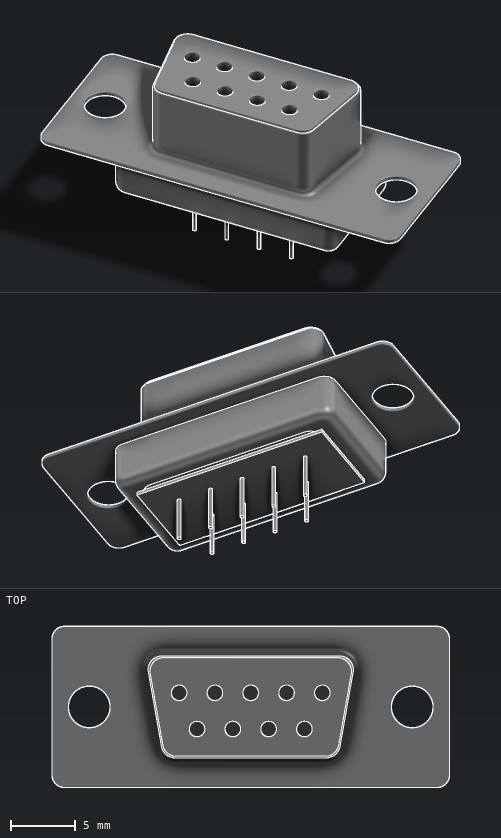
import cadquery as cq
import math


TOTAL_HEIGHT = 14.57
EDGE_ROUND = 0.1

FLANGE_LENGTH = 30.8
FLANGE_WIDTH = 12.5
FLANGE_THICKNESS = 0.4
FLANGE_CORNER_RADIUS = 1.0
MOUNT_HOLE_DIAMETER = 3.2
MOUNT_HOLE_SPACING = 25.0

SKIRT_LENGTH = 15.9
SKIRT_WIDTH = 7.9
SKIRT_HEIGHT = 5.88
SKIRT_WALL = 0.12
SKIRT_SIDE_ANGLE = 10.0
SKIRT_CORNER_RADIUS = 1.05
SKIRT_BASE_FILLET = 0.62

REAR_LENGTH = 19.2
REAR_WIDTH = 9.98
REAR_HEIGHT = 3.95
REAR_FILLET = 1.0

CORE_PROTRUSION = 0.25
PLATE_LENGTH = 16.25
PLATE_WIDTH = 7.0
PLATE_THICKNESS = 0.28

ROW_COUNTS = (5, 4)
CONTACT_PITCH = 2.77
ROW_SPACING = 2.8
SOCKET_DIAMETER = 1.2
SOCKET_ROWS_OFFSET = -0.3
PIN_DIAMETER = 0.3

CORE_TOP = SKIRT_HEIGHT + CORE_PROTRUSION
SOCKET_FLOOR = 0.0
REAR_BOTTOM = -FLANGE_THICKNESS - REAR_HEIGHT
PLATE_BOTTOM = REAR_BOTTOM - PLATE_THICKNESS
PIN_BOTTOM = CORE_TOP - TOTAL_HEIGHT


def plane_at(z):
    return cq.Workplane("XY", origin=(0, 0, z))


def contact_points(offset_y):
    """Centres of both contact rows; the longer row lies on the +Y side."""
    points = []
    for row, count in enumerate(ROW_COUNTS):
        y = offset_y + (0.5 - row) * ROW_SPACING
        for column in range(count):
            x = (column - (count - 1) / 2) * CONTACT_PITCH
            points.append((x, y))
    return points


def make_d_prism(inset, bottom, top):
    """Rounded D-shaped prism, wider on the +Y side, set in from the skirt's outer wall."""
    half_width = SKIRT_WIDTH / 2 - inset

    corner_cotangent = 1 / math.tan(math.radians((90 - SKIRT_SIDE_ANGLE) / 2))
    corner_overhang = SKIRT_CORNER_RADIUS * (corner_cotangent - 1)
    half_long = SKIRT_LENGTH / 2 + corner_overhang - inset * corner_cotangent
    half_short = half_long - 2 * half_width * math.tan(math.radians(SKIRT_SIDE_ANGLE))

    outline = [
        (-half_long, half_width),
        (half_long, half_width),
        (half_short, -half_width),
        (-half_short, -half_width),
    ]
    prism = plane_at(bottom).polyline(outline).close().extrude(top - bottom)
    return prism.edges("|Z").fillet(SKIRT_CORNER_RADIUS)


def make_flange():
    plate = (
        plane_at(-FLANGE_THICKNESS)
        .rect(FLANGE_LENGTH, FLANGE_WIDTH)
        .extrude(FLANGE_THICKNESS)
        .edges("|Z")
        .fillet(FLANGE_CORNER_RADIUS)
    )
    mount_points = [(-MOUNT_HOLE_SPACING / 2, 0), (MOUNT_HOLE_SPACING / 2, 0)]
    plate = plate.faces(">Z").workplane().pushPoints(mount_points).hole(MOUNT_HOLE_DIAMETER)
    return plate.faces("<Z or >Z").edges().fillet(EDGE_ROUND)


def make_skirt():
    skirt = make_d_prism(0, 0, SKIRT_HEIGHT)
    return skirt.faces(">Z").edges().fillet(EDGE_ROUND)


def fillet_skirt_base(body):
    """Blend the foot of the skirt into the flange."""
    reach_x = SKIRT_LENGTH / 2 + EDGE_ROUND
    reach_y = SKIRT_WIDTH / 2 + EDGE_ROUND
    reach_z = EDGE_ROUND / 2
    foot = cq.selectors.BoxSelector((-reach_x, -reach_y, -reach_z), (reach_x, reach_y, reach_z))
    return body.edges(foot).fillet(SKIRT_BASE_FILLET)


def make_rear_box():
    box = plane_at(REAR_BOTTOM).rect(REAR_LENGTH, REAR_WIDTH).extrude(REAR_HEIGHT)
    return box.edges("|Z or <Z").fillet(REAR_FILLET)


def make_shell():
    body = make_flange().union(make_skirt())
    body = fillet_skirt_base(body)
    body = body.union(make_rear_box())
    core_opening = make_d_prism(SKIRT_WALL, REAR_BOTTOM, SKIRT_HEIGHT)
    return body.cut(core_opening)


def make_core():
    """D-shaped core with blind contact sockets; the face and socket edges are rounded."""
    core = make_d_prism(SKIRT_WALL, REAR_BOTTOM, CORE_TOP)
    sockets = (
        plane_at(SOCKET_FLOOR)
        .pushPoints(contact_points(SOCKET_ROWS_OFFSET))
        .circle(SOCKET_DIAMETER / 2)
        .extrude(CORE_TOP - SOCKET_FLOOR)
    )
    return core.cut(sockets).faces(">Z").edges().fillet(EDGE_ROUND)


def make_insert():
    plate = plane_at(PLATE_BOTTOM).rect(PLATE_LENGTH, PLATE_WIDTH).extrude(PLATE_THICKNESS)
    pins = (
        plane_at(PIN_BOTTOM)
        .pushPoints(contact_points(0))
        .circle(PIN_DIAMETER / 2)
        .extrude(PLATE_BOTTOM - PIN_BOTTOM)
    )
    return make_core().union(plate).union(pins)


shell = make_shell()
insert = make_insert()

result = cq.Compound.makeCompound([shell.solids().val(), insert.solids().val()])